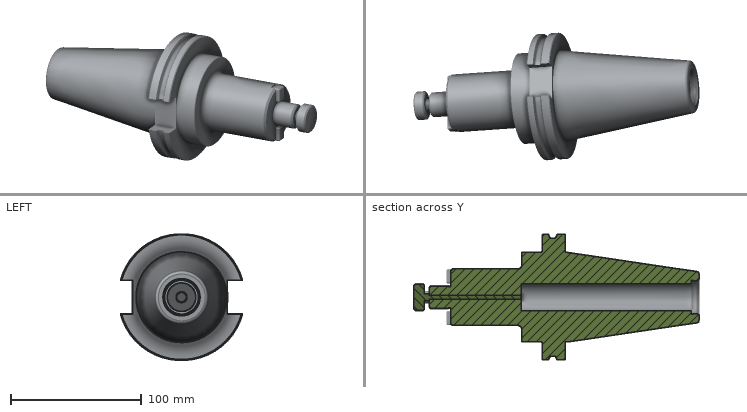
import cadquery as cq
import math

TOTAL_LENGTH = 219.6

TAPER_RATIO = 7 / 24
GAUGE_DIAMETER = 69.8
GAUGE_X = 101.7
SMALL_END_DIAMETER = GAUGE_DIAMETER - TAPER_RATIO * GAUGE_X
SMALL_END_FILLET = 2.5

FLANGE_DIAMETER = 97.3
FLANGE_START_X = 102.8
FLANGE_END_X = 120.8
FLANGE_EDGE_CHAMFER = 0.7
FLANGE_ROOT_FILLET = 0.7
GROOVE_CENTER_X = 112.7
GROOVE_FLOOR_WIDTH = 4.0
GROOVE_MOUTH_WIDTH = 6.5
GROOVE_DEPTH = 2.9
GROOVE_FLOOR_FILLET = 0.9

SLOT_WIDTH = 25.7
SLOT_FLOOR_FRONT = 35.4
SLOT_FLOOR_BACK = 37.8

COLLAR_DIAMETER = 69.8
COLLAR_END_X = 136.5
COLLAR_EDGE_CHAMFER = 0.5
BODY_DIAMETER = 44.5
BODY_ROOT_FILLET = 3.0
BODY_END_X = 191.3
BODY_END_CHAMFER = 1.5

SPIGOT_DIAMETER = 19.0
SPIGOT_END_X = 208.0
SPIGOT_END_CHAMFER = 1.3
UNDERCUT_DIAMETER = 18.5
UNDERCUT_LENGTH = 1.8

MOUTH_DIAMETER = 28.5
MOUTH_DEPTH = 2.0
PILOT_DIAMETER = 26.1
RELIEF_DIAMETER = 26.8
RELIEF_START_X = 4.8
RELIEF_END_X = 6.0
BORE_DIAMETER = 22
BORE_END_X = 136.5

NECK_DIAMETER = 9.9
THREAD_DIAMETER = 8.3
THREAD_END_CHAMFER = 0.5
HEAD_DIAMETER = 22
HEAD_START_X = 211.3
HEAD_CHAMFER = 1.0

KEY_WIDTH = 8.0
KEY_START_X = 187.0
KEY_END_X = 194.4
KEY_INNER_RADIUS = 10.5
KEY_OUTER_RADIUS = 21.5
KEY_CHAMFER = 0.7


def cylinder(diameter, start_x, end_x):
    return cq.Workplane("YZ", origin=(start_x, 0, 0)).circle(diameter / 2).extrude(end_x - start_x)


def revolve_about_axis(outline):
    """Turn a closed outline of (x, radius) points about the tool axis."""
    return cq.Workplane("XY").polyline(outline).close().revolve(360, (0, 0, 0), (1, 0, 0))


def make_taper():
    outline = [
        (0, 0),
        (0, SMALL_END_DIAMETER / 2),
        (GAUGE_X, GAUGE_DIAMETER / 2),
        (FLANGE_START_X, GAUGE_DIAMETER / 2),
        (FLANGE_START_X, 0),
    ]
    return revolve_about_axis(outline).faces("<X").edges().fillet(SMALL_END_FILLET)


def make_groove_cutter():
    floor_radius = FLANGE_DIAMETER / 2 - GROOVE_DEPTH
    half_floor = GROOVE_FLOOR_WIDTH / 2
    half_mouth = GROOVE_MOUTH_WIDTH / 2
    outline = [
        (GROOVE_CENTER_X - half_floor, floor_radius),
        (GROOVE_CENTER_X + half_floor, floor_radius),
        (GROOVE_CENTER_X + half_mouth, FLANGE_DIAMETER / 2),
        (GROOVE_CENTER_X - half_mouth, FLANGE_DIAMETER / 2),
    ]
    ring = revolve_about_axis(outline)
    return ring.edges(cq.selectors.RadiusNthSelector(0)).fillet(GROOVE_FLOOR_FILLET)


def make_slot_cutter(floor_y, side):
    length = FLANGE_END_X - FLANGE_START_X
    depth = FLANGE_DIAMETER / 2 - floor_y
    center = (FLANGE_START_X + length / 2, side * (floor_y + depth / 2), 0)
    return cq.Workplane("XY").box(length, depth, SLOT_WIDTH).translate(center)


def make_flange():
    disc = cylinder(FLANGE_DIAMETER, FLANGE_START_X, FLANGE_END_X).edges().chamfer(FLANGE_EDGE_CHAMFER)
    return disc.cut(make_groove_cutter())


def make_collar():
    collar = cylinder(COLLAR_DIAMETER, FLANGE_END_X, COLLAR_END_X)
    return collar.faces(">X").edges().chamfer(COLLAR_EDGE_CHAMFER)


def make_body():
    body = cylinder(BODY_DIAMETER, COLLAR_END_X, BODY_END_X)
    return body.faces(">X").edges().chamfer(BODY_END_CHAMFER)


def fillet_root(solid, diameter, x, radius):
    """Round the inner corner where a cylinder of this diameter meets a shoulder at this X."""
    corner = [
        edge
        for edge in solid.edges("%CIRCLE").vals()
        if math.isclose(edge.radius(), diameter / 2) and math.isclose(edge.Center().x, x)
    ]
    return solid.newObject(corner).fillet(radius)


def make_spigot():
    undercut_end = BODY_END_X + UNDERCUT_LENGTH
    spigot = cylinder(SPIGOT_DIAMETER, undercut_end, SPIGOT_END_X)
    spigot = spigot.faces(">X").edges().chamfer(SPIGOT_END_CHAMFER)
    return spigot.union(cylinder(UNDERCUT_DIAMETER, BODY_END_X, undercut_end))


def make_bore_cutter():
    outline = [
        (0, 0),
        (0, MOUTH_DIAMETER / 2),
        (MOUTH_DEPTH, PILOT_DIAMETER / 2),
        (RELIEF_START_X, PILOT_DIAMETER / 2),
        (RELIEF_START_X, RELIEF_DIAMETER / 2),
        (RELIEF_END_X, RELIEF_DIAMETER / 2),
        (RELIEF_END_X, BORE_DIAMETER / 2),
        (BORE_END_X, BORE_DIAMETER / 2),
        (BORE_END_X, 0),
    ]
    return revolve_about_axis(outline)


def key_box(end_x, outer_radius, side):
    length = end_x - KEY_START_X
    height = outer_radius - KEY_INNER_RADIUS
    center = (KEY_START_X + length / 2, 0, side * (KEY_INNER_RADIUS + height / 2))
    return cq.Workplane("XY").box(length, KEY_WIDTH, height).translate(center)


def make_key(side):
    return key_box(KEY_END_X, KEY_OUTER_RADIUS, side).edges().chamfer(KEY_CHAMFER)


def make_key_slot(side):
    return key_box(BODY_END_X, BODY_DIAMETER / 2, side)


def make_holder():
    holder = make_taper().union(make_flange()).union(make_collar()).union(make_body()).union(make_spigot())
    holder = fillet_root(holder, COLLAR_DIAMETER, FLANGE_END_X, FLANGE_ROOT_FILLET)
    holder = fillet_root(holder, BODY_DIAMETER, COLLAR_END_X, BODY_ROOT_FILLET)
    holder = holder.cut(make_slot_cutter(SLOT_FLOOR_FRONT, -1))
    holder = holder.cut(make_slot_cutter(SLOT_FLOOR_BACK, 1))
    holder = holder.cut(make_bore_cutter())
    holder = holder.cut(cylinder(THREAD_DIAMETER, BORE_END_X, SPIGOT_END_X))
    for side in (-1, 1):
        holder = holder.cut(make_key_slot(side))
    return holder


def make_screw():
    head = cylinder(HEAD_DIAMETER, HEAD_START_X, TOTAL_LENGTH).edges().chamfer(HEAD_CHAMFER)
    neck = cylinder(NECK_DIAMETER, SPIGOT_END_X, HEAD_START_X)
    thread = cylinder(THREAD_DIAMETER, BORE_END_X, SPIGOT_END_X)
    thread = thread.faces("<X").edges().chamfer(THREAD_END_CHAMFER)
    return head.union(neck).union(thread)


holder = make_holder()
screw = make_screw()
keys = [make_key(side) for side in (-1, 1)]

result = cq.Compound.makeCompound([holder.val(), screw.val(), *[key.val() for key in keys]])